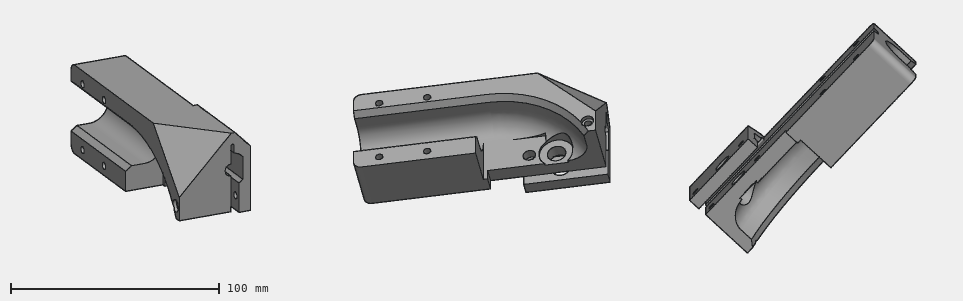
import cadquery as cq
import math

LENGTH = 118.0
HEIGHT = 45.5
BODY_DEPTH = 27.5
TOTAL_DEPTH = 38.0
END_RADIUS = 4.0
FOOT_LENGTH = 61.7
STEP_HEIGHT = 5.2
CORNER_CUT = 28.3
CORNER_CUT_DEPTH = 27.7

CHANNEL_Z = 23.1
CHANNEL_RADIUS = 9.9
CHANNEL_FLAT = 1.1
CHANNEL_DEPTH = 2 * CHANNEL_RADIUS
FLARE_DEPTH = 3.2
FLARE_WIDTH = 2.4
BEND_START = 64.9
BEND_RADIUS = 42.5

RECESS_START = 59.6
RECESS_END = 90.2
RECESS_TOP = CHANNEL_Z - CHANNEL_FLAT / 2

SCREW_HOLE = 3.4
SCREW_HEAD = 6.0
MOUNT_X = (12.6, 36.0)
MOUNT_Z = (5.0, 38.7)
PIVOT_X = 95.1
PIVOT_Z = 11.6
PIVOT_HOLE = 9.0
PIVOT_SEAT = 16.9
PIVOT_SEAT_SINK = 1.2
INNER_SCREW_X = 82.0
INNER_HEAD_SINK = 5.0
OUTER_SCREW_X = 114.0
OUTER_HEAD_SINK = 2.0

HOOK_START = 76.9
HOOK_BOTTOM = 4.1
HOOK_CHAMFER = 8.3
HOOK_INNER_Y = 31.9
SLOT_WIDTH = 1.8
SLOT_TOP = 39.6
CABLE_Z = 26.7
CABLE_GROOVE = 6.0
CAVITY_RADIUS = 8.6
CAVITY_DEPTH = 6.4


def block(x0, x1, y0, y1, z0, z1):
    """Box between two opposite corners."""
    return cq.Workplane("XY").box(x1 - x0, y1 - y0, z1 - z0, centered=False).translate((x0, y0, z0))


def bore(x, z, diameter, depth):
    """Cylinder running from the front face toward the back."""
    return cq.Workplane("XZ").center(x, z).circle(diameter / 2).extrude(-depth)


def rod(y, z, radius, x0, x1):
    """Cylinder running along X."""
    return cq.Workplane("YZ", origin=(x0, 0, 0)).center(y, z).circle(radius).extrude(x1 - x0)


def body():
    """Block with a full-height foot and a stepped underside."""
    foot = block(0, FOOT_LENGTH, 0, BODY_DEPTH, 0, HEIGHT)
    foot = foot.edges("|Y and <X").fillet(END_RADIUS)
    return foot.union(block(FOOT_LENGTH, LENGTH, 0, BODY_DEPTH, STEP_HEIGHT, HEIGHT))


def hook():
    """Hook plate; its outline steps out at cable height, inside the round cavity."""
    slot_end = (BODY_DEPTH, SLOT_TOP - SLOT_WIDTH / 2)
    slot_peak = (BODY_DEPTH + SLOT_WIDTH / 2, SLOT_TOP)
    hook_outline = [
        slot_end,
        (BODY_DEPTH, HEIGHT),
        (TOTAL_DEPTH - HOOK_CHAMFER, HEIGHT),
        (TOTAL_DEPTH, HEIGHT - HOOK_CHAMFER),
        (TOTAL_DEPTH, HOOK_BOTTOM),
        (HOOK_INNER_Y, HOOK_BOTTOM),
        (HOOK_INNER_Y, CABLE_Z),
        (BODY_DEPTH + SLOT_WIDTH, CABLE_Z),
        (BODY_DEPTH + SLOT_WIDTH, SLOT_TOP - SLOT_WIDTH / 2),
    ]
    plate = (
        cq.Workplane("YZ", origin=(HOOK_START, 0, 0))
        .polyline(hook_outline)
        .threePointArc(slot_peak, slot_end)
        .close()
        .extrude(LENGTH - HOOK_START)
    )
    cavity = rod(BODY_DEPTH, CABLE_Z, CAVITY_RADIUS, HOOK_START, LENGTH)
    flat_limit = block(0, LENGTH, BODY_DEPTH, BODY_DEPTH + CAVITY_DEPTH, 0, HEIGHT)
    return plate.cut(cavity.intersect(flat_limit))


def channel_section(x):
    """U-shaped outline with its flared mouth on the front face."""
    half_width = CHANNEL_RADIUS + CHANNEL_FLAT / 2
    half_flat = CHANNEL_FLAT / 2
    mouth = half_width + FLARE_WIDTH
    bulge = CHANNEL_RADIUS * math.sqrt(0.5)
    return (
        cq.Workplane("YZ", origin=(x, 0, CHANNEL_Z))
        .moveTo(0, -mouth)
        .lineTo(FLARE_DEPTH, -half_width)
        .lineTo(CHANNEL_RADIUS, -half_width)
        .threePointArc((CHANNEL_RADIUS + bulge, -half_flat - bulge), (CHANNEL_DEPTH, -half_flat))
        .lineTo(CHANNEL_DEPTH, half_flat)
        .threePointArc((CHANNEL_RADIUS + bulge, half_flat + bulge), (CHANNEL_RADIUS, half_width))
        .lineTo(FLARE_DEPTH, half_width)
        .lineTo(0, mouth)
        .close()
    )


def channel():
    """Straight channel, its downward bend and the recess below it."""
    straight = channel_section(0).extrude(BEND_START)
    bend = channel_section(BEND_START).revolve(90, (0, -BEND_RADIUS, 0), (1, -BEND_RADIUS, 0))
    recess = block(RECESS_START, RECESS_END, 0, CHANNEL_DEPTH, 0, RECESS_TOP)
    return straight.union(bend).union(recess)


def corner_cut():
    """Tetrahedron on the front, top, right corner."""
    corners = [
        cq.Vector(LENGTH, 0, HEIGHT),
        cq.Vector(LENGTH - CORNER_CUT, 0, HEIGHT),
        cq.Vector(LENGTH, 0, HEIGHT - CORNER_CUT),
        cq.Vector(LENGTH, CORNER_CUT_DEPTH, HEIGHT),
    ]
    faces = []
    for skipped in corners:
        triangle = [corner for corner in corners if corner is not skipped]
        faces.append(cq.Face.makeFromWires(cq.Wire.makePolygon(triangle, close=True)))
    return cq.Workplane(cq.Solid.makeSolid(cq.Shell.makeShell(faces)))


def hole_cutters():
    """Pivot hole, mounting holes and counterbored screw holes."""
    holes = bore(PIVOT_X, PIVOT_Z, PIVOT_HOLE, TOTAL_DEPTH)
    holes = holes.union(bore(PIVOT_X, PIVOT_Z, PIVOT_SEAT, CHANNEL_DEPTH + PIVOT_SEAT_SINK))
    for x in MOUNT_X:
        for z in MOUNT_Z:
            holes = holes.union(bore(x, z, SCREW_HOLE, BODY_DEPTH))
    counterbored_screws = (
        (INNER_SCREW_X, CHANNEL_DEPTH + INNER_HEAD_SINK),
        (OUTER_SCREW_X, OUTER_HEAD_SINK),
    )
    for x, head_depth in counterbored_screws:
        holes = holes.union(bore(x, PIVOT_Z, SCREW_HOLE, TOTAL_DEPTH))
        holes = holes.union(bore(x, PIVOT_Z, SCREW_HEAD, head_depth))
    return holes


result = (
    body()
    .cut(rod(BODY_DEPTH, CABLE_Z, CABLE_GROOVE / 2, 0, LENGTH))
    .union(hook())
    .cut(channel())
    .cut(corner_cut())
    .cut(hole_cutters())
)